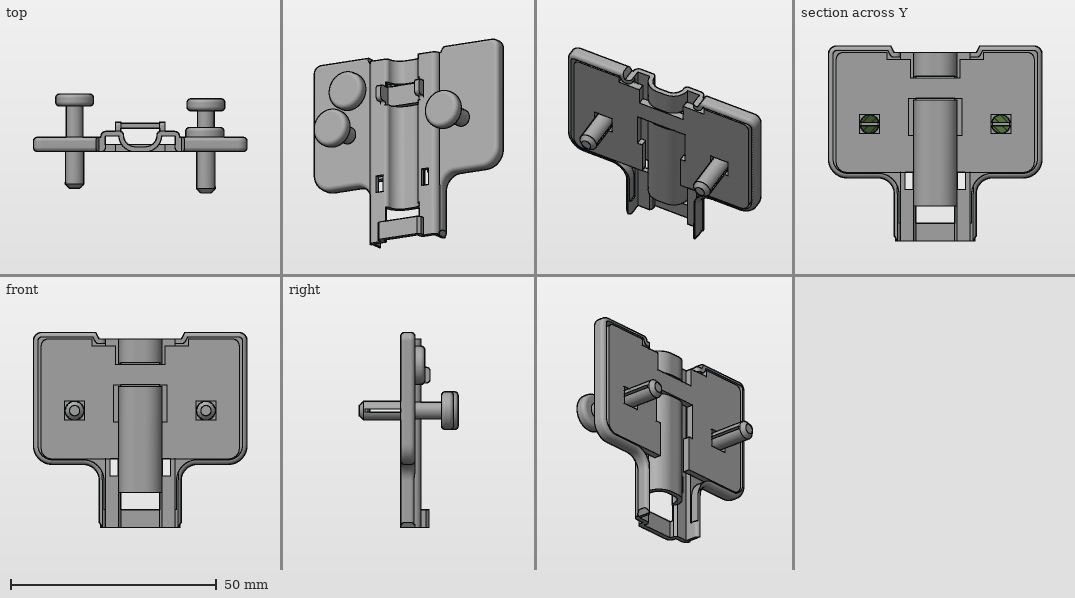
import cadquery as cq
import math


arc_diagonal = math.sqrt(0.5)

half_width = 26.0
height = 47.5
thickness = 3.55
wall = 1.15
edge_round = 1.05
shoulder_z = 15.35
neck_half = 10.0
top_corner = 2.1
bottom_corner = 4.7
neck_fillet = 3.85
saddle_z = 45.85
saddle_half_bottom = 10.0
saddle_half_top = 10.8
neck_chamfer_x = 0.85
neck_chamfer_z = 1.3
recess_floor_y = thickness - wall
recess_bottom_z = 4.35

channel_half = 8.5
channel_outer_half = channel_half + wall
channel_back_y = 5.0
web = 1.2
web_front_y = channel_back_y - web
channel_round = 1.05
channel_back_round = 1.4
trough_flat_half = 1.2
trough_radius = 4.05
trough_half = trough_flat_half + trough_radius
trough_end_z = 8.55
opening_half = 4.75
opening_bevel_x = 0.5
opening_bevel_y = 0.75
cross_gap = 0.35

slot_inner_x = 5.4
slot_outer_x = 7.35
slot_bottom_z = 12.6
lug_inner_x = 4.75
lug_outer_x = 6.05
lug_bottom_z = 35.15
lug_top_z = 39.0
lug_back_y = 7.25
lug_round = 1.0
lug_root_round = 0.4
bracket_back_y = 6.95
bracket_bar = 1.3
bracket_chamfer = 0.75

button_x = 15.7
button_z = 39.45
button_radius = 4.7
button_back_y = 5.95
button_round = 1.0

plate_half = 24.1
plate_thickness = 1.75
plate_bottom_z = 16.75
plate_top_z = 45.85
plate_top_corner = 1.65
plate_bottom_corner = 2.5
top_notch_half = 11.7
top_notch_z = 44.2
deep_notch_half = 6.05
crossbar_top_z = 39.7
crossbar_bottom_z = 34.7
window_half = 6.55
window_bottom_z = 25.65

pin_x = 15.95
pin_z = 28.45
left_head_y = 14.05
right_head_y = 12.9
head_radius = 4.65
head_height = 2.95
head_round = 1.0
pin_shaft_radius = 2.1
pin_leg_radius = 2.3
pin_step = left_head_y - recess_floor_y
pin_length = 22.95
tip_chamfer = 1.05
pin_slot_width = 0.75
pin_slot_to_tip = 1.45
plate_hole_width = 4.8
plate_hole_height = 2 * pin_leg_radius


def box(x0, x1, y0, y1, z0, z1):
    """Box between opposite corners."""
    return cq.Workplane("XY").box(x1 - x0, y1 - y0, z1 - z0, centered=False).translate((x0, y0, z0))


def mirrored_box(x0, x1, y0, y1, z0, z1):
    """Box and its mirror image across the YZ plane."""
    return box(x0, x1, y0, y1, z0, z1).union(box(-x1, -x0, y0, y1, z0, z1))


def along_y(sketch, y0, y1):
    """Extrude a wire drawn on the XZ plane from y0 to y1."""
    return sketch.extrude(-(y1 - y0)).translate((0, y0, 0))


def shell_outline():
    """Closed T-shaped outline with sharp corners."""
    right_side = [
        (neck_half, 0),
        (neck_half, shoulder_z),
        (half_width, shoulder_z),
        (half_width, height),
        (saddle_half_top, height),
        (saddle_half_bottom, saddle_z),
    ]
    left_side = [(-x, z) for x, z in reversed(right_side)]
    return cq.Workplane("XZ").polyline(right_side + left_side).close()


def corner_edges(body, x, z):
    """Edges parallel to Y at (+-x, z)."""
    mid_y = thickness / 2
    right = cq.selectors.NearestToPointSelector((x, mid_y, z))
    left = cq.selectors.NearestToPointSelector((-x, mid_y, z))
    return body.edges("|Y").edges(right + left)


def rounded_block():
    block = along_y(shell_outline(), 0, thickness)
    block = corner_edges(block, half_width, height).fillet(top_corner)
    block = corner_edges(block, half_width, shoulder_z).fillet(bottom_corner)
    return corner_edges(block, neck_half, shoulder_z).fillet(neck_fillet)


def recess(block):
    """Inside of the shell: the block outline moved in by one wall, open to the front."""
    rim = block.faces("<Y").wires().val()
    inner_wires = rim.offset2D(-wall)
    inner = along_y(cq.Workplane("XZ").newObject(inner_wires).toPending(), 0, recess_floor_y)
    return inner.cut(box(-half_width, half_width, 0, recess_floor_y, 0, recess_bottom_z))


def round_rim(block):
    """Round the front and back rims, leaving the saddle and the neck's end sharp."""
    rounded_edges = []
    for edge in block.faces("<Y or >Y").edges().vals():
        middle = edge.Center()
        in_saddle = abs(middle.x) < saddle_half_top and middle.z > saddle_z - wall
        at_neck_end = middle.z < wall
        if not in_saddle and not at_neck_end:
            rounded_edges.append(edge)
    return block.newObject(rounded_edges).fillet(edge_round)


def neck_chamfers():
    """Wedges that bevel the lower ends of the neck's two sides."""
    corner = cq.Workplane("XZ").polyline([
        (neck_half - neck_chamfer_x, 0),
        (neck_half, neck_chamfer_z),
        (neck_half, 0),
    ]).close()
    wedge = along_y(corner, 0, thickness)
    return wedge.union(wedge.mirror("YZ"))


def channel_space():
    """Clear space of the channel; its mouth flares in quarter rounds at the front."""
    mouth_half = channel_half + channel_round
    bulge = channel_round * (1 - arc_diagonal)
    return (
        cq.Workplane("XY")
        .moveTo(-mouth_half, 0)
        .threePointArc((-channel_half - bulge, bulge), (-channel_half, channel_round))
        .lineTo(-channel_half, web_front_y)
        .lineTo(channel_half, web_front_y)
        .lineTo(channel_half, channel_round)
        .threePointArc((channel_half + bulge, bulge), (mouth_half, 0))
        .close()
        .extrude(saddle_z)
    )


def channel_back():
    """Raised block behind the shell that the channel is hollowed from."""
    back = box(-channel_outer_half, channel_outer_half, recess_floor_y, channel_back_y, 0, saddle_z)
    return back.edges("|Z and >Y").fillet(channel_back_round)


def trough_section(depth):
    """U section of the trough, moved back from the front face by the given depth."""
    radius = trough_radius - depth
    diagonal = radius * arc_diagonal
    half = trough_flat_half + radius
    arc_x = trough_flat_half + diagonal
    arc_y = trough_radius - diagonal
    return (
        cq.Workplane("XY")
        .moveTo(-half, trough_radius)
        .threePointArc((-arc_x, arc_y), (-trough_flat_half, depth))
        .lineTo(trough_flat_half, depth)
        .threePointArc((arc_x, arc_y), (half, trough_radius))
    )


def trough():
    return trough_section(0).close().extrude(saddle_z)


def trough_hollow():
    """Groove in the back of the trough, its lips rounded into the back of the channel."""
    lip = channel_back_y - trough_radius
    half = trough_half - web
    bulge = lip * (1 - arc_diagonal)
    return (
        trough_section(web)
        .threePointArc((half + bulge, channel_back_y - bulge), (half + lip, channel_back_y))
        .lineTo(-half - lip, channel_back_y)
        .threePointArc((-half - bulge, channel_back_y - bulge), (-half, trough_radius))
        .close()
        .extrude(saddle_z)
    )


def opening_profile(back_y):
    """Gap between the webs beside the trough, bevelled at their front edges."""
    bevel_half = opening_half + opening_bevel_x
    bevel_y = web_front_y + opening_bevel_y
    return cq.Workplane("XY").polyline([
        (-bevel_half, web_front_y),
        (bevel_half, web_front_y),
        (opening_half, bevel_y),
        (opening_half, back_y),
        (-opening_half, back_y),
        (-opening_half, bevel_y),
    ]).close()


def trough_opening(z0, z1):
    """Cuts the trough away over a height range, leaving the flat webs beside it."""
    front = box(-trough_half, trough_half, 0, web_front_y, z0, z1)
    gap = opening_profile(channel_back_y).extrude(z1 - z0).translate((0, 0, z0))
    return front.union(gap)


def lugs():
    """Pair of lugs on the back of the channel, each with a rounded root below."""
    root = box(
        lug_inner_x, lug_outer_x, web_front_y, channel_back_y,
        lug_bottom_z - 2 * lug_root_round, lug_top_z)
    lug = root.union(box(lug_inner_x, lug_outer_x, web_front_y, lug_back_y, lug_bottom_z, lug_top_z))
    lug = lug.edges("|X and >Y").fillet(lug_round)
    inner_corner = cq.selectors.NearestToPointSelector((lug_inner_x, channel_back_y, lug_bottom_z))
    lug = lug.edges("|X").edges(inner_corner).fillet(lug_root_round)
    return lug.union(lug.mirror("YZ"))


def bracket():
    """Bar across the back at the lower end, carried by a leg at each side."""
    outer = box(-lug_outer_x, lug_outer_x, web_front_y, bracket_back_y, 0, recess_bottom_z)
    outer = outer.edges("|Z and >Y").chamfer(bracket_chamfer)
    inside = opening_profile(bracket_back_y - bracket_bar).extrude(recess_bottom_z)
    return outer.cut(inside)


def button():
    disc = cq.Workplane("XZ").center(button_x, button_z).circle(button_radius)
    return along_y(disc, thickness, button_back_y).faces(">Y").edges().fillet(button_round)


def make_housing():
    block = rounded_block()
    body = round_rim(block).cut(recess(block))
    body = body.union(channel_back()).cut(channel_space())
    body = body.cut(neck_chamfers())
    body = body.union(trough()).cut(trough_hollow())
    body = body.cut(trough_opening(0, trough_end_z))
    body = body.cut(trough_opening(crossbar_bottom_z - cross_gap, crossbar_top_z + cross_gap))
    body = body.cut(mirrored_box(
        slot_inner_x, slot_outer_x, recess_floor_y, channel_back_y, slot_bottom_z, plate_bottom_z))
    body = body.union(bracket()).union(lugs()).union(button())
    for x in (-pin_x, pin_x):
        hole = cq.Workplane("XZ").center(x, pin_z).circle(pin_shaft_radius)
        body = body.cut(along_y(hole, 0, thickness))
    return body


def make_plate():
    plate = box(-plate_half, plate_half, 0, plate_thickness, plate_bottom_z, plate_top_z)
    plate = plate.edges("|Y and >Z").fillet(plate_top_corner)
    plate = plate.edges("|Y and <Z").fillet(plate_bottom_corner)
    openings = [
        (top_notch_half, top_notch_z, plate_top_z),
        (deep_notch_half, crossbar_top_z, plate_top_z),
        (window_half, window_bottom_z, crossbar_bottom_z),
        (trough_half, plate_bottom_z, crossbar_bottom_z),
    ]
    for half, z0, z1 in openings:
        plate = plate.cut(box(-half, half, 0, plate_thickness, z0, z1))
    return plate.cut(mirrored_box(
        pin_x - plate_hole_width / 2, pin_x + plate_hole_width / 2, 0, plate_thickness,
        pin_z - plate_hole_height / 2, pin_z + plate_hole_height / 2))


def make_pin(x, head_y):
    """Headed pin with a wider, split leg that points to the front."""
    tip_y = head_y - pin_length
    step_y = head_y - pin_step
    neck_y = head_y - head_height
    head = along_y(cq.Workplane("XZ").circle(head_radius), neck_y, head_y)
    head = head.edges().fillet(head_round)
    leg = along_y(cq.Workplane("XZ").circle(pin_leg_radius), tip_y, step_y)
    leg = leg.faces("<Y").edges().chamfer(tip_chamfer)
    leg = leg.cut(box(
        -pin_leg_radius, pin_leg_radius, tip_y + pin_slot_to_tip, step_y,
        -pin_slot_width / 2, pin_slot_width / 2))
    shaft = along_y(cq.Workplane("XZ").circle(pin_shaft_radius), step_y, neck_y)
    return head.union(shaft).union(leg).translate((x, 0, pin_z))


housing = make_housing()
plate = make_plate()
pins = [make_pin(x, head_y) for x, head_y in ((-pin_x, left_head_y), (pin_x, right_head_y))]

result = cq.Compound.makeCompound([housing.val(), plate.val(), *[pin.val() for pin in pins]])